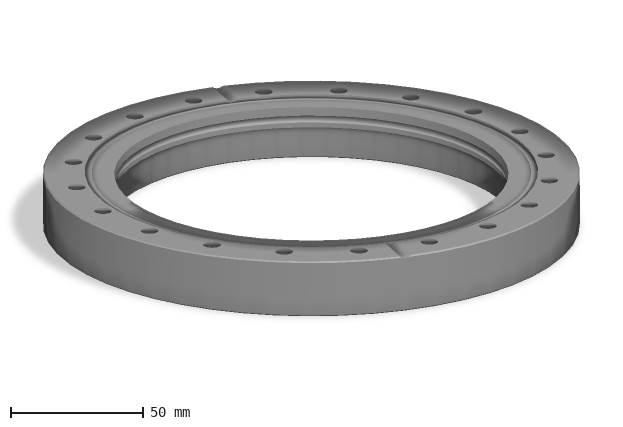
import cadquery as cq

outer_diameter = 203.0
thickness = 22.0
bore_diameter = 149.0
edge_chamfer = 0.5

socket_diameter = 152.9
lip_bottom_depth = 9.2

relief_radius = 1.4
relief_center_depth = 5.9

recess_diameter = 171.4
recess_depth = 1.4
knife_tip_diameter = 166.1
knife_tip_depth = 0.6
knife_back_run = 0.2
inner_face_depth = 1.1

bolt_count = 20
bolt_circle_diameter = 181.0
bolt_hole_diameter = 6.7

leak_groove_width = 4.2
leak_groove_depth = 0.9


def make_ring():
    """Revolve the flange half-section: rim, recess, knife edge, bore and socket."""
    outer_radius = outer_diameter / 2
    bore_radius = bore_diameter / 2
    socket_radius = socket_diameter / 2
    recess_radius = recess_diameter / 2
    tip_radius = knife_tip_diameter / 2
    inner_face_height = thickness - inner_face_depth
    relief_height = thickness - relief_center_depth
    lip_bottom_height = thickness - lip_bottom_depth
    section = (
        cq.Workplane("XZ")
        .moveTo(socket_radius + edge_chamfer, 0)
        .lineTo(outer_radius - edge_chamfer, 0)
        .lineTo(outer_radius, edge_chamfer)
        .lineTo(outer_radius, thickness - edge_chamfer)
        .lineTo(outer_radius - edge_chamfer, thickness)
        .lineTo(recess_radius, thickness)
        .lineTo(recess_radius, thickness - recess_depth)
        .lineTo(tip_radius, thickness - knife_tip_depth)
        .lineTo(tip_radius - knife_back_run, inner_face_height)
        .lineTo(bore_radius, inner_face_height)
        .lineTo(bore_radius, relief_height + relief_radius)
        .threePointArc(
            (bore_radius + relief_radius, relief_height),
            (bore_radius, relief_height - relief_radius),
        )
        .lineTo(bore_radius, lip_bottom_height)
        .lineTo(socket_radius, lip_bottom_height)
        .lineTo(socket_radius, edge_chamfer)
        .close()
    )
    return section.revolve(360, (0, 0, 0), (0, 1, 0))


def make_bolt_holes():
    """Evenly spaced through holes that straddle the X axis by half a pitch."""
    half_pitch = 360 / bolt_count / 2
    return (
        cq.Workplane("XY")
        .polarArray(bolt_circle_diameter / 2, half_pitch, 360, bolt_count)
        .circle(bolt_hole_diameter / 2)
        .extrude(thickness)
    )


def make_leak_grooves():
    """Two shallow round-bottomed grooves along X, from the gasket recess out to the rim."""
    half_width = leak_groove_width / 2
    groove_radius = (half_width**2 + leak_groove_depth**2) / (2 * leak_groove_depth)
    axis_height = thickness - leak_groove_depth + groove_radius
    rod = (
        cq.Workplane("YZ")
        .center(0, axis_height)
        .circle(groove_radius)
        .extrude(outer_diameter / 2, both=True)
    )
    recess_core = (
        cq.Workplane("XY")
        .circle(recess_diameter / 2)
        .extrude(axis_height + groove_radius)
    )
    return rod.cut(recess_core)


result = make_ring().cut(make_bolt_holes()).cut(make_leak_grooves())